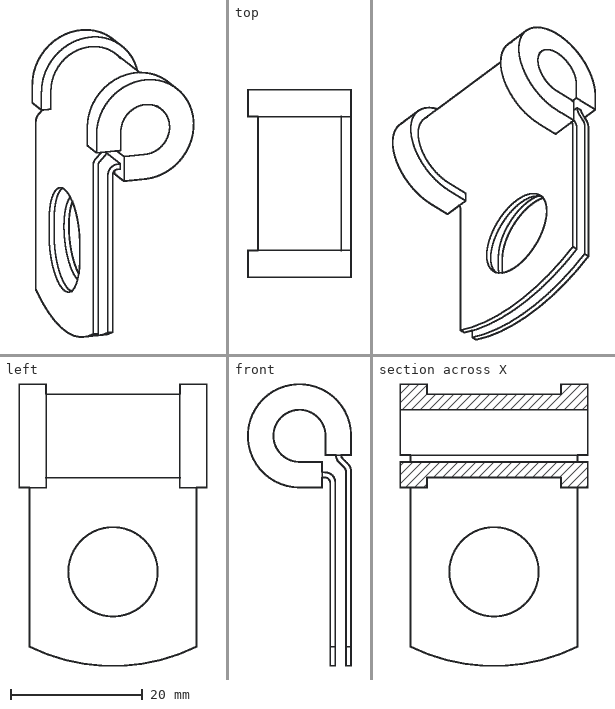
import cadquery as cq
import math

total_height = 42.7
total_length = 28.45
collar_diameter = 15.68
bore_diameter = 7.85
collar_width = 4.1
lower_lip_x = 3.4
upper_lip_z = -2.9

strap_thickness = 0.8
strap_width = 25.35
strap_outer_radius = 6.32
bend_radius = 1.175
jog_angle = math.radians(45)
jog_start_z = -2.9
front_tab_x = 5.05

hole_diameter = 13.5
hole_z = -20.6
slot_straight = 2.48
tab_end_sag = 2.95

collar_radius = collar_diameter / 2
bore_radius = bore_diameter / 2
bottom_z = collar_radius - total_height
strap_radius = strap_outer_radius - strap_thickness / 2
rear_tab_x = collar_radius - strap_thickness / 2
tab_gap_x = (front_tab_x + rear_tab_x) / 2


def c_section(outer_radius, length):
    """C-shaped tube centred on Y, open at its lower +X corner."""
    diagonal = math.sqrt(0.5)
    return (
        cq.Workplane("XZ")
        .moveTo(outer_radius, upper_lip_z)
        .lineTo(outer_radius, 0)
        .threePointArc((-outer_radius * diagonal, outer_radius * diagonal), (0, -outer_radius))
        .lineTo(lower_lip_x, -outer_radius)
        .lineTo(lower_lip_x, -bore_radius)
        .lineTo(0, -bore_radius)
        .threePointArc((-bore_radius * diagonal, bore_radius * diagonal), (bore_radius, 0))
        .lineTo(bore_radius, upper_lip_z)
        .close()
        .extrude(length / 2, both=True)
    )


def make_cushion():
    """Thin sleeve with a wide collar at each end."""
    cushion = c_section(strap_outer_radius, total_length)
    collar_y = (total_length - collar_width) / 2
    for y in (-collar_y, collar_y):
        cushion = cushion.union(c_section(collar_radius, collar_width).translate((0, y, 0)))
    return cushion


def make_strap():
    """Flat strap swept along its centreline, from the rear tab round to the front tab."""
    arc_offset = bend_radius * (1 - math.cos(jog_angle))
    arc_rise = bend_radius * math.sin(jog_angle)
    slope_offset = rear_tab_x - strap_radius - 2 * arc_offset
    slope_rise = slope_offset / math.tan(jog_angle)
    jog_end_z = jog_start_z - 2 * arc_rise - slope_rise
    mid_offset = bend_radius * (1 - math.cos(jog_angle / 2))
    mid_rise = bend_radius * math.sin(jog_angle / 2)

    diagonal = math.sqrt(0.5)
    bend_x = front_tab_x - bend_radius
    bend_z = -strap_radius - bend_radius
    path = (
        cq.Workplane("XZ")
        .moveTo(rear_tab_x, bottom_z)
        .lineTo(rear_tab_x, jog_end_z)
        .threePointArc(
            (rear_tab_x - mid_offset, jog_end_z + mid_rise),
            (rear_tab_x - arc_offset, jog_end_z + arc_rise),
        )
        .lineTo(strap_radius + arc_offset, jog_start_z - arc_rise)
        .threePointArc((strap_radius + mid_offset, jog_start_z - mid_rise), (strap_radius, jog_start_z))
        .lineTo(strap_radius, 0)
        .threePointArc((-strap_radius * diagonal, strap_radius * diagonal), (0, -strap_radius))
        .lineTo(bend_x, -strap_radius)
        .threePointArc(
            (bend_x + bend_radius * diagonal, bend_z + bend_radius * diagonal),
            (front_tab_x, bend_z),
        )
        .lineTo(front_tab_x, bottom_z)
    )
    return (
        cq.Workplane("XY", origin=(rear_tab_x, 0, bottom_z))
        .rect(strap_thickness, strap_width)
        .sweep(path)
    )


def tab_outline():
    """Side outline of the strap: straight sides and a rounded lower end."""
    half_width = strap_width / 2
    corner_z = bottom_z + tab_end_sag
    return (
        cq.Workplane("YZ")
        .moveTo(-half_width, collar_radius)
        .lineTo(-half_width, corner_z)
        .threePointArc((0, bottom_z), (half_width, corner_z))
        .lineTo(half_width, collar_radius)
        .close()
        .extrude(collar_diameter, both=True)
    )


def front_hole():
    """Round hole along X, reaching only the front tab."""
    return (
        cq.Workplane("YZ", origin=(0, 0, hole_z))
        .circle(hole_diameter / 2)
        .extrude(tab_gap_x)
    )


def rear_slot():
    """Vertical slot as wide as the round hole, reaching only the rear tab."""
    return (
        cq.Workplane("YZ", origin=(tab_gap_x, 0, hole_z))
        .slot2D(hole_diameter + slot_straight, hole_diameter, 90)
        .extrude(collar_radius)
    )


strap = make_strap().intersect(tab_outline()).cut(front_hole()).cut(rear_slot())
result = make_cushion().union(strap)